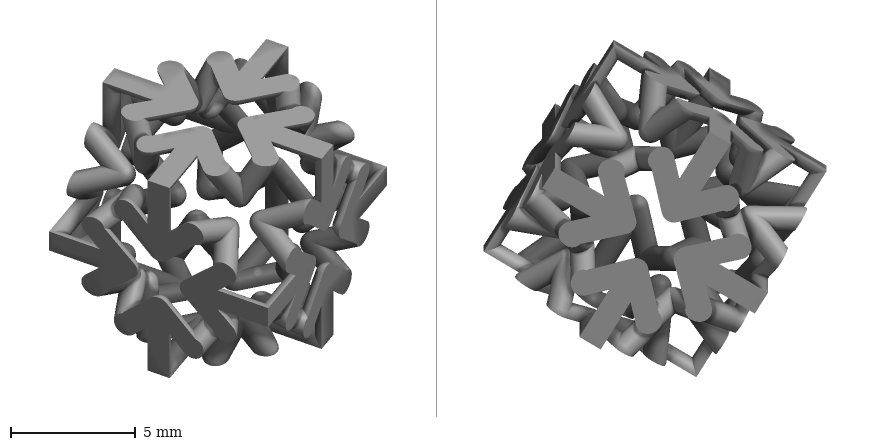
import cadquery as cq

cell_size = 10.0
strut_diameter = 1.0

half_cell = cell_size / 2
strut_radius = strut_diameter / 2

tip_offset = 1.46
barb_near = 1.52
barb_far = 3.03
node_side = 2.13
node_height = 3.16


def strut(start, end):
    """Round strut between two joints."""
    start_point = cq.Vector(*start)
    axis = cq.Vector(*end) - start_point
    return cq.Workplane(cq.Solid.makeCylinder(strut_radius, axis.Length, start_point, axis))


def ball(center):
    """Ball that rounds off a joint, its poles along Y to keep its seam clear of the mirror plane."""
    pole_axis = cq.Vector(0, 1, 0)
    return cq.Workplane(cq.Solid.makeSphere(strut_radius, cq.Vector(*center), pole_axis, -90, 90, 360))


def symmetry_wedge():
    """Region 0 <= y <= x <= z <= half_cell, which mirrors and turns to fill the cube."""
    plan_prism = (
        cq.Workplane("XY")
        .polyline([(0, 0), (half_cell, 0), (half_cell, half_cell)])
        .close()
        .extrude(half_cell)
    )
    profile_prism = (
        cq.Workplane("XZ")
        .polyline([(0, 0), (half_cell, half_cell), (0, half_cell)])
        .close()
        .extrude(-half_cell)
    )
    return plan_prism.intersect(profile_prism)


def half_arrow():
    """Half of one arrow in the top face, with the inward leg from its barb, cut to the wedge."""
    tip = (tip_offset, 0, half_cell)
    edge_middle = (half_cell, 0, half_cell)
    barb_end = (barb_far, barb_near, half_cell)
    node = (node_side, node_side, node_height)
    wedge = symmetry_wedge()
    body = strut(tip, edge_middle).intersect(wedge)
    for part in (strut(tip, barb_end), strut(barb_end, node), ball(tip), ball(barb_end), ball(node)):
        body = body.union(part.intersect(wedge))
    return body


def face_frame():
    """Four arrows around the top face."""
    half = half_arrow()
    arrow = half.union(half.mirror("XZ"))
    frame = arrow
    for angle in (90, 180, 270):
        frame = frame.union(arrow.rotate((0, 0, 0), (0, 0, 1), angle))
    return frame


def lattice_cell():
    """The top frame turned onto all six faces."""
    top_frame = face_frame()
    cell = top_frame
    for angle in (90, 180, 270):
        cell = cell.union(top_frame.rotate((0, 0, 0), (1, 0, 0), angle))
    for angle in (90, 270):
        cell = cell.union(top_frame.rotate((0, 0, 0), (0, 1, 0), angle))
    return cell


result = lattice_cell()